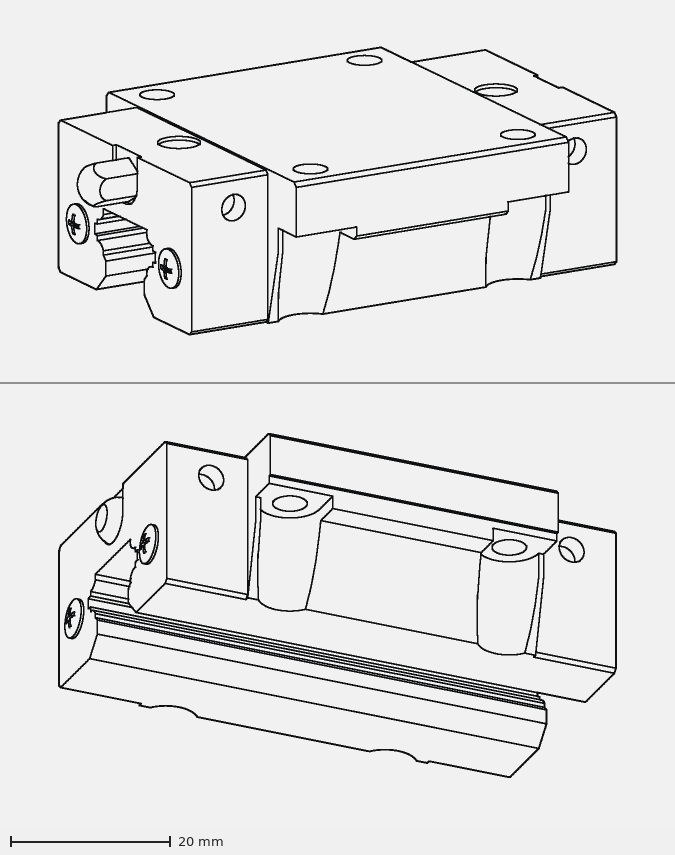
import cadquery as cq
import math


height = 20.0
half_width = 23.5
block_length = 39.45
bottom_half_width = 16.55
flange_bottom = 11.3
waist_half_width = 19.4
flange_chamfer = 0.55
edge_step = 0.4
edge_step_top = 14.05

hole_x = 19.0
hole_y = 15.0
hole_diameter = 4.3
clearance_radius = 4.0
clearance_top = 13.0

cap_width = 33.0
cap_height = 19.8
overall_cap_length = 61.55
cap_chamfer = 0.5
cap_end = overall_cap_length / 2
cap_length = cap_end - block_length / 2

top_recess_diameter = 5.35
top_recess_depth = 0.5
top_recess_y = 22.95
side_hole_diameter = 3.4
side_hole_depth = 2.8
side_hole_y = 24.7
side_hole_z = 15.8

opening_top = 11.0
groove_mid_z = 7.85
throat_half_width = 5.35
lip_half_width = 4.7
lip_bottom = 2.35
lip_top = 4.3
lip_bevel = throat_half_width - lip_half_width
shoulder_half_width = 6.8
groove_half_width = 7.5
groove_half_height = 0.7
groove_mouth_half_height = 0.75
shoulder_half_height = 1.4
bulge_x = 5.9
bulge_half_height = 1.7
throat_half_height = 2.35

port_z = 16.1
slot_radius = 3.05
slot_depth = 0.55
slot_floor = cap_end - slot_depth
nipple_tip = 37.2
nipple_across_flats = 4.95
nipple_dome_radius = 2.9
plug_end = 32.35
plug_flat_radius = 1.75
plug_mid_radius = 2.7
plug_mid_fraction = 0.55

screw_x = 11.4
screw_z = 7.5
screw_radius = 2.5
screw_rim = 0.35
screw_height = 0.9
cross_length = 2.5
cross_width = 0.5
cross_depth = 0.55

SIDES = (-1, 1)


def block():
    """Flanged block with tapered flanks; the -X edge is stepped, the +X edge is chamfered."""
    profile = (
        cq.Workplane("XZ", origin=(0, block_length / 2, 0))
        .moveTo(-bottom_half_width, 0)
        .lineTo(-waist_half_width, flange_bottom)
        .lineTo(-half_width + edge_step, flange_bottom)
        .lineTo(-half_width + edge_step, edge_step_top)
        .lineTo(-half_width, edge_step_top)
        .lineTo(-half_width, height - flange_chamfer)
        .lineTo(-half_width + flange_chamfer, height)
        .lineTo(half_width - flange_chamfer, height)
        .lineTo(half_width, height - flange_chamfer)
        .lineTo(half_width, flange_bottom + flange_chamfer)
        .lineTo(half_width - flange_chamfer, flange_bottom)
        .lineTo(waist_half_width, flange_bottom)
        .lineTo(bottom_half_width, 0)
        .close()
    )
    return profile.extrude(block_length)


def mounting_cuts():
    """Four through holes, each with a round flank clearance and a raised flange underside."""
    corners = [(sx * hole_x, sy * hole_y) for sx in SIDES for sy in SIDES]
    cuts = cq.Workplane("XY").pushPoints(corners).circle(hole_diameter / 2).extrude(height)
    cuts = cuts.union(cq.Workplane("XY").pushPoints(corners).circle(clearance_radius).extrude(clearance_top))
    pocket_start = hole_y - clearance_radius
    pocket_length = block_length / 2 - pocket_start
    pocket_width = half_width - hole_x
    pockets = (
        cq.Workplane("XY")
        .pushPoints([
            (sx * (hole_x + pocket_width / 2), sy * (pocket_start + pocket_length / 2))
            for sx in SIDES for sy in SIDES
        ])
        .rect(pocket_width, pocket_length)
        .extrude(clearance_top)
    )
    return cuts.union(pockets)


def end_cap(side):
    """Cap with chamfered long edges, a shallow recess on top and a blind hole in each flank."""
    cap = (
        cq.Workplane("XY")
        .box(cap_width, cap_length, cap_height, centered=(True, True, False))
        .edges("|Y").chamfer(cap_chamfer)
        .translate((0, side * (block_length + cap_length) / 2, 0))
    )
    recess = (
        cq.Workplane("XY", origin=(0, side * top_recess_y, cap_height - top_recess_depth))
        .circle(top_recess_diameter / 2)
        .extrude(top_recess_depth)
    )
    cap = cap.cut(recess)
    for flank in SIDES:
        side_hole = (
            cq.Workplane("YZ", origin=(flank * cap_width / 2, side * side_hole_y, side_hole_z))
            .circle(side_hole_diameter / 2)
            .extrude(-flank * side_hole_depth)
        )
        cap = cap.cut(side_hole)
    return cap.cut(port_slot(side))


def port_slot(side):
    """Shallow round-bottomed slot in the outer face of a cap, open at the top."""
    plane = cq.Workplane("XZ", origin=(0, side * slot_floor, port_z))
    depth = -side * slot_depth
    above = cap_height - port_z
    upright = plane.center(0, above / 2).rect(2 * slot_radius, above).extrude(depth)
    return plane.circle(slot_radius).extrude(depth).union(upright)


def rail_opening():
    """Rail channel through the full length, with a ball groove in each flank."""
    upper_bulge = (bulge_x, groove_mid_z + bulge_half_height)
    lower_bulge = (bulge_x, groove_mid_z - bulge_half_height)
    groove = [
        (shoulder_half_width, groove_mid_z + groove_mouth_half_height),
        (groove_half_width, groove_mid_z + groove_half_height),
        (groove_half_width, groove_mid_z - groove_half_height),
        (shoulder_half_width, groove_mid_z - groove_mouth_half_height),
        (shoulder_half_width, groove_mid_z - shoulder_half_height),
    ]
    lip = [
        (throat_half_width, lip_top + lip_bevel),
        (lip_half_width, lip_top),
        (lip_half_width, lip_bottom),
        (lip_half_width + lip_bottom, 0),
        (0, 0),
    ]
    outline = cq.Workplane("XZ", origin=(0, cap_end, 0)).moveTo(0, opening_top)
    outline = outline.lineTo(throat_half_width, opening_top)
    outline = outline.lineTo(throat_half_width, groove_mid_z + throat_half_height)
    outline = outline.threePointArc(upper_bulge, (shoulder_half_width, groove_mid_z + shoulder_half_height))
    for point in groove:
        outline = outline.lineTo(*point)
    outline = outline.threePointArc(lower_bulge, (throat_half_width, groove_mid_z - throat_half_height))
    for point in lip:
        outline = outline.lineTo(*point)
    right_half = outline.close().extrude(overall_cap_length)
    return right_half.union(right_half.mirror("YZ"))


def nipple():
    """Hexagonal grease nipple with a spherical end."""
    corner_diameter = nipple_across_flats / math.cos(math.pi / 6)
    length = nipple_tip - slot_floor
    sphere_centre = nipple_tip - nipple_dome_radius
    hexagon = (
        cq.Workplane("XZ", origin=(0, -slot_floor, port_z))
        .transformed(rotate=(0, 0, 90))
        .polygon(6, corner_diameter)
        .extrude(length)
    )
    corner_radius = corner_diameter / 2
    dome_drop = nipple_dome_radius - math.sqrt(nipple_dome_radius**2 - corner_radius**2)
    dome_mid_radius = corner_radius / 2
    dome_mid_y = sphere_centre + math.sqrt(nipple_dome_radius**2 - dome_mid_radius**2)
    rounded_envelope = (
        cq.Workplane("XY")
        .moveTo(0, -slot_floor)
        .lineTo(corner_radius, -slot_floor)
        .lineTo(corner_radius, -nipple_tip + dome_drop)
        .threePointArc((dome_mid_radius, -dome_mid_y), (0, -nipple_tip))
        .close()
        .revolve(360, (0, 0, 0), (0, 1, 0))
        .translate((0, 0, port_z))
    )
    return hexagon.intersect(rounded_envelope)


def plug():
    """Domed plug with a flat end, closing the +Y port."""
    height_above_floor = plug_end - slot_floor
    profile = (
        cq.Workplane("XY")
        .moveTo(0, 0)
        .lineTo(slot_radius, 0)
        .threePointArc(
            (plug_mid_radius, plug_mid_fraction * height_above_floor),
            (plug_flat_radius, height_above_floor),
        )
        .lineTo(0, height_above_floor)
        .close()
    )
    return profile.revolve(360, (0, 0, 0), (0, 1, 0)).translate((0, slot_floor, port_z))


def screw_head(x, side):
    """Domed screw head with a cross recess, on the outer face of a cap."""
    dome_rise = screw_height - screw_rim
    dome_radius = (screw_radius**2 + dome_rise**2) / (2 * dome_rise)
    arc_x = screw_radius / 2
    arc_y = screw_height - dome_radius + math.sqrt(dome_radius**2 - arc_x**2)
    head = (
        cq.Workplane("XY")
        .moveTo(0, 0)
        .lineTo(screw_radius, 0)
        .lineTo(screw_radius, screw_rim)
        .threePointArc((arc_x, arc_y), (0, screw_height))
        .close()
        .revolve(360, (0, 0, 0), (0, 1, 0))
    )
    for width, tall in ((cross_length, cross_width), (cross_width, cross_length)):
        bar = cq.Workplane("XY").box(width, cross_depth, tall)
        head = head.cut(bar.translate((0, screw_height - cross_depth / 2, 0)))
    if side < 0:
        head = head.mirror("XZ")
    return head.translate((x, side * cap_end, screw_z))


result = block().cut(mounting_cuts())
for end in SIDES:
    result = result.union(end_cap(end))
result = result.cut(rail_opening())
for end in SIDES:
    for across in SIDES:
        result = result.union(screw_head(across * screw_x, end))
result = result.union(nipple()).union(plug())